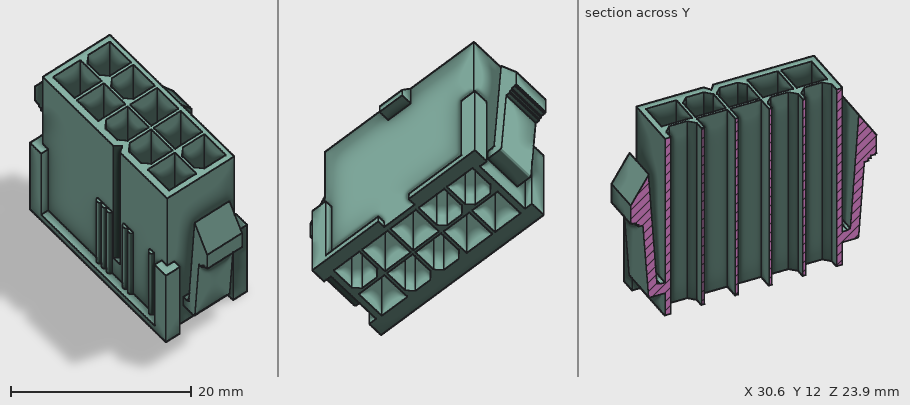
import cadquery as cq


body_width = 22.1
body_depth = 9.55
total_height = 23.9
overall_depth = 12.0

columns = 5
pitch = 4.2
cavity_width = 3.8
cavity_depth = 3.85
cavity_corner = 0.8
cavity_grid_y = 0.14
keyed_back_columns = (0, 1, 4)
keyed_front_columns = (2, 3)

base_width = 24.15
base_depth = 11.55
post_size = 2.0
post_height = 11.9
ledge_height = 1.0
back_gap_width = 4.5

groove_x = pitch / 2
groove_width = 1.2
groove_depth = 0.8
groove_length = 20.0

rib_groups = ((0.0, 3), (pitch, 2), (2 * pitch, 1))
rib_radius = 0.4
rib_spacing = 0.9

lug_width = 3.35
lug_reach = overall_depth - base_depth / 2 - body_depth / 2
lug_height = 3.0
lug_slope_height = 1.9

latch_width = 4.95
latch_outer_x = 15.3
latch_bottom_z = 3.0
latch_tip = (13.05, 19.7)
latch_shoulder_z = 16.2
latch_catch_z = 13.7
catch_steps = ((0.2, 0.1), (0.5, 0.3), (0.3, 0.3))
catch_last_run = 0.5
latch_foot_x = 13.08
latch_foot_radius = 0.3
latch_root = (12.0, 4.65)
latch_floor_x = 11.65
latch_floor_z = 4.5

front_y = -body_depth / 2
back_y = body_depth / 2


def box(x_min, x_max, y_min, y_max, z_min, z_max):
    """Box given by its limits along each axis."""
    size = (x_max - x_min, y_max - y_min, z_max - z_min)
    return cq.Workplane("XY").box(*size, centered=False).translate((x_min, y_min, z_min))


def make_body():
    return box(-body_width / 2, body_width / 2, front_y, back_y, 0, total_height)


def make_base():
    """Four corner posts plus the front ledge and the split back ledge."""
    half_width = base_width / 2
    half_depth = base_depth / 2
    base = box(-half_width, half_width, -half_depth, front_y, 0, ledge_height)
    for side in (-1, 1):
        x_min, x_max = sorted((side * half_width, side * back_gap_width / 2))
        base = base.union(box(x_min, x_max, back_y, half_depth, 0, ledge_height))
    post_x = (base_width - post_size) / 2
    post_y = (base_depth - post_size) / 2
    posts = (
        cq.Workplane("XY")
        .rect(2 * post_x, 2 * post_y, forConstruction=True)
        .vertices()
        .rect(post_size, post_size)
        .extrude(post_height)
    )
    return base.union(posts)


def make_cavity(column, row_y, keyed):
    """Through cavity; a keyed one has both corners on its front side cut off."""
    cavity = cq.Workplane("XY").rect(cavity_width, cavity_depth).extrude(total_height)
    if keyed:
        cavity = cavity.edges("|Z and <Y").chamfer(cavity_corner)
    column_x = (column - (columns - 1) / 2) * pitch
    return cavity.translate((column_x, row_y, 0))


def cut_cavities(part):
    rows = (
        (cavity_grid_y + pitch / 2, keyed_back_columns),
        (cavity_grid_y - pitch / 2, keyed_front_columns),
    )
    for row_y, keyed_columns in rows:
        for column in range(columns):
            part = part.cut(make_cavity(column, row_y, column in keyed_columns))
    return part


def make_groove():
    return (
        cq.Workplane("XY", origin=(groove_x, front_y, total_height - groove_length))
        .moveTo(-groove_width / 2, 0)
        .lineTo(groove_width / 2, 0)
        .lineTo(0, groove_depth)
        .close()
        .extrude(groove_length)
    )


def add_ribs(part):
    """Half-round ribs; each group is centred on its column."""
    for group_x, count in rib_groups:
        for index in range(count):
            rib_x = group_x + (index - (count - 1) / 2) * rib_spacing
            rib = (
                cq.Workplane("XY", origin=(rib_x, front_y, 0))
                .circle(rib_radius)
                .extrude(post_height)
            )
            part = part.union(rib)
    return part


def make_lug():
    bottom_z = total_height - lug_height
    knee_z = total_height - lug_slope_height
    return (
        cq.Workplane("YZ")
        .moveTo(back_y, bottom_z)
        .lineTo(back_y + lug_reach, bottom_z)
        .lineTo(back_y + lug_reach, knee_z)
        .lineTo(back_y, total_height)
        .close()
        .extrude(lug_width / 2, both=True)
    )


def make_latch():
    """Latch on the +X end: foot on the body, leaning arm, and stepped catch under the head."""
    outline = [
        (body_width / 2, latch_bottom_z),
        (body_width / 2, latch_floor_z),
        (latch_floor_x, latch_floor_z),
        latch_root,
        latch_tip,
        (latch_outer_x, latch_shoulder_z),
    ]
    x, z = latch_outer_x, latch_catch_z
    outline.append((x, z))
    for run, drop in catch_steps:
        x -= run
        outline.append((x, z))
        z -= drop
        outline.append((x, z))
    outline.append((x - catch_last_run, z))
    outline.append((latch_foot_x, latch_bottom_z))
    latch = cq.Workplane("XZ").polyline(outline).close().extrude(latch_width / 2, both=True)
    foot_edge = cq.selectors.NearestToPointSelector((latch_foot_x, 0, latch_bottom_z))
    return latch.edges("|Y").edges(foot_edge).fillet(latch_foot_radius)


latch = make_latch()
result = make_body().union(make_base())
result = add_ribs(result)
result = result.cut(make_groove())
result = cut_cavities(result)
result = result.union(make_lug()).union(latch).union(latch.mirror("YZ"))